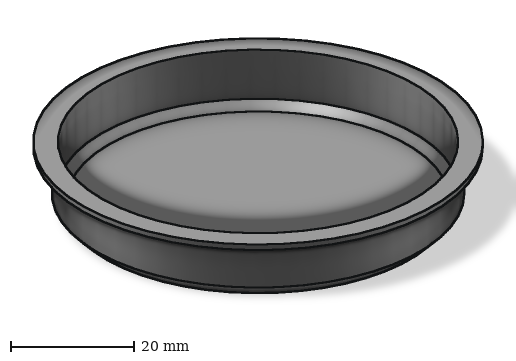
import cadquery as cq

height = 11.5
flange_diameter = 73.0
flange_thickness = 1.0
body_diameter = 67.0
cavity_diameter = 65.0
floor_thickness = 1.0
outer_chamfer = 2.1
inner_chamfer = 1.5


def make_body():
    """Round cup body, chamfered around its bottom edge."""
    body = cq.Workplane("XY").circle(body_diameter / 2).extrude(height)
    return body.faces("<Z").edges().chamfer(outer_chamfer)


def make_flange():
    """Thin flange flush with the top of the body."""
    flange_plane = cq.Workplane("XY").workplane(offset=height - flange_thickness)
    return flange_plane.circle(flange_diameter / 2).extrude(flange_thickness)


def make_cavity():
    """Open cavity whose wall meets the floor at a chamfer."""
    floor_plane = cq.Workplane("XY").workplane(offset=floor_thickness)
    cavity = floor_plane.circle(cavity_diameter / 2).extrude(height - floor_thickness)
    return cavity.faces("<Z").edges().chamfer(inner_chamfer)


result = make_body().union(make_flange()).cut(make_cavity())